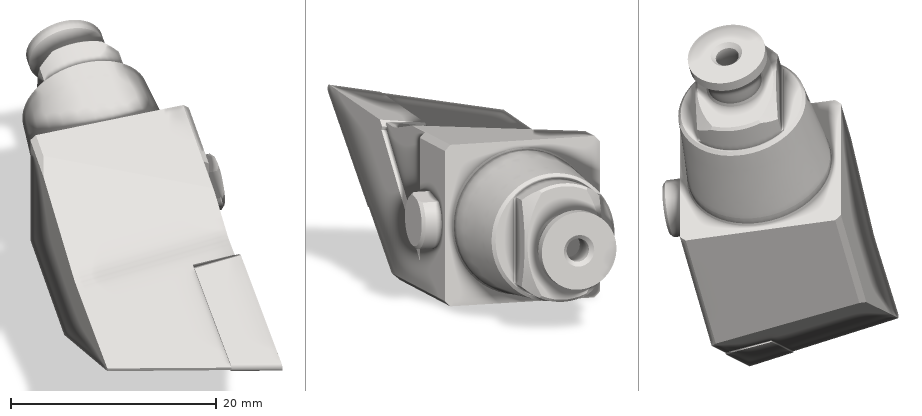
import cadquery as cq


block_size = 16.0
half = block_size / 2
edge_chamfer = 0.55
nose_x = 28.8
nose_lead = 0.39
beyond = 31.2

top_tilt = 0.123
ramp_slope = 0.22
rake_slope = 0.055
valley_x = 16.65
valley_z = 4.9
valley_radius = 6.25

relief_run = 1.28
relief_lead = 0.2
relief_x = 11.95

shank_length = 9.45
shank_front_radius = 6.35
shank_rear_radius = 7.1
shank_band = 0.9
shank_chamfer = 0.3
root_flare = 0.15
shank_overlap = 0.5

recess_depth = 0.5
recess_start = 7.5
recess_end = 19.25
recess_run = 1.05
recess_top = 6.5

insert_width = 4.7
insert_proud = 0.15
insert_relief_offset = 0.18
insert_rear = 19.45
insert_bottom_x = 22.65
insert_bottom_z = -2.65
nose_radius = 0.45
gap_width = 0.7
gap_lead = 0.06
gap_depth = 0.4

nut_length = 3.0
nut_radius = 5.9
nut_half_flats = 4.0
nut_rim_chamfer = 0.25
shoulder_length = 0.15
shoulder_half_width = 4.2
bevel_radius = 9.55
bevel_reach = 3.8

stud_head_radius = 3.85
stud_neck_radius = 2.65
stud_rim = 1.1
stud_cone = 1.0
stud_length = 4.45
stud_root = 0.2
mouth_radius = 1.55
bore_radius = 1.15
bore_depth = 3.1
mouth_depth = 0.4

screw_x = 3.7
screw_radius = 2.8
screw_height = 2.0
screw_chamfer = 0.3
screw_flat_distance = 2.45
screw_flat_angles = (42, 102)

pin_radius = 0.45
pin_x = 6.95
pin_z = 0.8
pin_height = 1.4


def oblique_prism(points, y_start, y_end, x_lead=0.0, z_lead=0.0):
    """Prism of an XZ outline given at y_start, swept to y_end along a slanted direction."""
    length = y_end - y_start
    wire = cq.Wire.makePolygon([cq.Vector(x, y_start, z) for x, z in points], close=True)
    travel = cq.Vector(x_lead * length, length, z_lead * length)
    return cq.Workplane(cq.Solid.extrudeLinear(cq.Face.makeFromWires(wire), travel))


def rake_z(x):
    """Height of the rake face on the -Y side."""
    return valley_z + rake_slope * (x - valley_x)


def relief_edge_x(z):
    """X of the relief face at height z on the -Y side."""
    return relief_x + relief_run * (z + half)


def top_cutter():
    """Everything above the ramp, the rounded valley and the rake face."""
    outline = [
        (-beyond, valley_z + ramp_slope * (valley_x + beyond)),
        (valley_x, valley_z),
        (2 * beyond, rake_z(2 * beyond)),
        (2 * beyond, beyond),
        (-beyond, beyond),
    ]
    cutter = oblique_prism(outline, -half, half, z_lead=top_tilt)
    valley = cq.selectors.NearestToPointSelector((valley_x, 0, valley_z + top_tilt * half))
    return cutter.edges(valley).fillet(valley_radius)


def relief_cutter():
    """Everything ahead of and below the relief face."""
    outline = [
        (relief_edge_x(-beyond), -beyond),
        (relief_edge_x(beyond), beyond),
        (2 * beyond + relief_edge_x(beyond), -beyond),
    ]
    return oblique_prism(outline, -half, half, x_lead=relief_lead)


def nose_cutter():
    """Everything ahead of the upright nose face."""
    outline = [(nose_x, -half), (2 * beyond, -half), (2 * beyond, half), (nose_x, half)]
    return oblique_prism(outline, -half, half, x_lead=nose_lead)


def insert_seat_height():
    """Height of the rake face where it meets the rear and inner side of the insert."""
    return rake_z(insert_rear) + top_tilt * (block_size - insert_width)


def make_insert(edge_radius):
    """Wedge-shaped plate with a bevelled rear; its cutting edge is sharp if edge_radius is 0."""
    top_z = rake_z(0) + insert_proud
    relief_start = relief_x + insert_relief_offset + relief_run * half
    tip_z = (top_z + rake_slope * relief_start) / (1 - rake_slope * relief_run)
    tip_x = relief_start + relief_run * tip_z
    nose_rise = top_tilt + rake_slope * nose_lead
    wedge = oblique_prism(
        [(0, top_z), (tip_x, tip_z), (relief_start - relief_run * beyond, -beyond), (0, -beyond)],
        -half,
        half,
        x_lead=nose_lead,
        z_lead=nose_rise,
    )
    if edge_radius > 0:
        edge_middle = (tip_x + nose_lead * half, 0, tip_z + nose_rise * half)
        wedge = wedge.edges(cq.selectors.NearestToPointSelector(edge_middle)).fillet(edge_radius)
    rear_z = insert_seat_height()
    envelope = oblique_prism(
        [
            (insert_rear, beyond),
            (insert_rear, rear_z + insert_proud),
            (insert_rear - gap_width, rear_z - gap_depth),
            (insert_bottom_x, insert_bottom_z),
            (2 * beyond, insert_bottom_z),
            (2 * beyond, beyond),
        ],
        half - insert_width,
        half,
        z_lead=top_tilt,
    )
    return wedge.intersect(envelope)


def make_shank():
    front = -shank_length
    return (
        cq.Workplane("XY")
        .polyline(
            [
                (shank_overlap, 0),
                (front, 0),
                (front, shank_front_radius - shank_chamfer),
                (front + shank_chamfer, shank_front_radius),
                (-shank_band, shank_rear_radius),
                (-root_flare, shank_rear_radius),
                (0, shank_rear_radius + root_flare),
                (shank_overlap, shank_rear_radius + root_flare),
            ]
        )
        .close()
        .revolve(360, (0, 0, 0), (1, 0, 0))
    )


def recess_cutter():
    """Shallow side recess whose floor climbs towards the insert."""
    floor_start = recess_top - (recess_end - recess_start) / recess_run
    outline = [
        (recess_start, beyond),
        (recess_start, floor_start),
        (recess_end, recess_top),
        (recess_end, beyond),
    ]
    return oblique_prism(outline, half - recess_depth, half)


def insert_gap_cutter():
    """Narrow gap between the bevelled rear of the insert and the end wall of its seat."""
    bottom = insert_seat_height() - gap_depth
    outline = [
        (insert_rear - gap_width, bottom),
        (insert_rear, bottom),
        (insert_rear, beyond),
        (insert_rear - gap_width, beyond),
    ]
    return oblique_prism(outline, half - insert_width, half, x_lead=gap_lead, z_lead=top_tilt)


def make_holder():
    length = nose_x + nose_lead * block_size
    block = (
        cq.Workplane("XY")
        .box(length, block_size, block_size, centered=(False, True, True))
        .edges("|X")
        .chamfer(edge_chamfer)
    )
    for cutter in (top_cutter(), relief_cutter(), nose_cutter(), recess_cutter(), insert_gap_cutter()):
        block = block.cut(cutter)
    return block.cut(make_insert(0)).union(make_shank())


def make_nut():
    start = -shank_length - nut_length
    nut = (
        cq.Workplane("YZ", origin=(start, 0, 0))
        .circle(nut_radius)
        .extrude(nut_length)
        .faces("<X")
        .chamfer(nut_rim_chamfer)
    )
    flats = cq.Workplane("XY").box(beyond, 2 * nut_half_flats, beyond, centered=(False, True, True))
    shoulder = cq.Workplane("XY").box(
        shoulder_length, 2 * shoulder_half_width, beyond, centered=(False, True, True)
    )
    envelope = flats.translate((start, 0, 0)).union(
        shoulder.translate((-shank_length - shoulder_length, 0, 0))
    )
    nut = nut.intersect(envelope)
    for side in (-1, 1):
        axis_y = side * (bevel_reach - bevel_radius)
        bevel = cq.Solid.makeCone(
            bevel_radius,
            bevel_radius + nut_length,
            nut_length,
            cq.Vector(start, axis_y, 0),
            cq.Vector(1, 0, 0),
        )
        nut = nut.intersect(cq.Workplane(bevel))
    return nut


def make_stud():
    seat = -shank_length - nut_length
    end = seat - stud_length
    cone_start = end + stud_rim
    stud = (
        cq.Workplane("XY")
        .polyline(
            [
                (end, 0),
                (end, stud_head_radius),
                (cone_start, stud_head_radius),
                (cone_start + stud_cone, stud_neck_radius),
                (seat - stud_root, stud_neck_radius),
                (seat, stud_neck_radius + stud_root),
                (seat, 0),
            ]
        )
        .close()
        .revolve(360, (0, 0, 0), (1, 0, 0))
    )
    along_x = cq.Vector(1, 0, 0)
    mouth = cq.Solid.makeCone(
        mouth_radius, bore_radius, mouth_depth, cq.Vector(end, 0, 0), along_x
    )
    bore = cq.Workplane("YZ", origin=(end, 0, 0)).circle(bore_radius).extrude(bore_depth)
    return stud.cut(cq.Workplane(mouth)).cut(bore)


def make_side_screw():
    """Round head with two neighbouring flats, on the +Y face of the holder."""
    blank = cq.Workplane("XZ", origin=(0, half, 0)).circle(screw_radius).extrude(-screw_height)
    head = blank.faces(">Y").chamfer(screw_chamfer)
    outside = cq.Workplane("XY").box(beyond, beyond, beyond, centered=(False, True, True))
    for angle in screw_flat_angles:
        flat = outside.translate((screw_flat_distance, 0, 0))
        head = head.cut(flat.rotate((0, 0, 0), (0, 1, 0), -angle))
    return head.translate((screw_x, 0, 0))


def make_pin():
    pin = cq.Workplane("XZ", origin=(0, half, 0)).circle(pin_radius).extrude(-pin_height)
    return pin.translate((pin_x, 0, pin_z))


insert = make_insert(nose_radius)
holder = make_holder()
nut = make_nut()
stud = make_stud()
side_screw = make_side_screw()
pin = make_pin()

result = cq.Compound.makeCompound(
    [holder.val(), insert.val(), nut.val(), stud.val(), side_screw.val(), pin.val()]
)